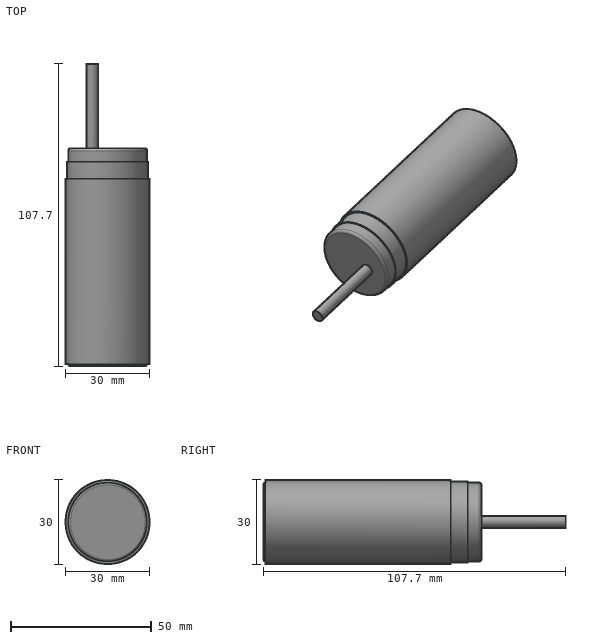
import cadquery as cq

overall_length = 107.7
face_length = 0.7
body_length = 66.0
collar_length = 6.0
cap_length = 5.0

face_diameter = 28.0
body_diameter = 30.0
collar_diameter = 29.0
cap_diameter = 28.2
cable_diameter = 4.3
cable_offset = 5.4

face_round = 0.69
cap_round = 1.0

body_start = face_length
collar_start = body_start + body_length
cap_start = collar_start + collar_length
cable_start = cap_start + cap_length
cable_length = overall_length - cable_start


def cylinder_along_y(diameter, start, length, x=0.0):
    """Solid cylinder parallel to Y, beginning at Y = start."""
    base = cq.Workplane("XZ", origin=(x, start, 0))
    return base.circle(diameter / 2).extrude(-length)


face = cylinder_along_y(face_diameter, 0, face_length).faces("<Y").edges().fillet(face_round)

body = cylinder_along_y(body_diameter, body_start, body_length)
collar = cylinder_along_y(collar_diameter, collar_start, collar_length)

cap = cylinder_along_y(cap_diameter, cap_start, cap_length).faces(">Y").edges().fillet(cap_round)

cable = cylinder_along_y(cable_diameter, cable_start, cable_length, x=-cable_offset)

result = face.union(body).union(collar).union(cap).union(cable)